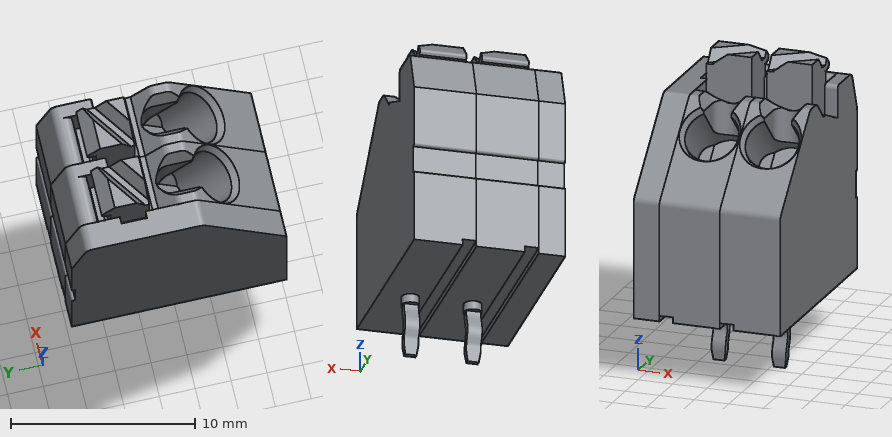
import cadquery as cq
import math


COVER_WIDTH = 1.5
POLE_PITCH = 3.5
POLE_COUNT = 2
HOUSING_DEPTH = 12.0
HOUSING_HEIGHT = 11.5
EDGE_RADIUS = 0.5
FRONT_WALL_HEIGHT = 6.84
BACK_WALL_HEIGHT = 9.13
BACK_BEVEL_RUN = 0.86
FRONT_BEVEL_RUN = HOUSING_HEIGHT - FRONT_WALL_HEIGHT

BACK_RECESS_BOTTOM = 4.12
BACK_RECESS_TOP = 5.65
BACK_RECESS_DEPTH = 0.2
BACK_RECESS_RADIUS = 0.15

COVER_POCKET_WIDTH = 0.4
COVER_POCKET_FRONT = 7.54
COVER_POCKET_BACK = 8.96
COVER_POCKET_DEPTH = 1.0

FOOT_NOTCH_WIDTH = 0.78
FOOT_NOTCH_HEIGHT = 0.33

TROUGH_FRONT = 5.66
TROUGH_STEP_FRONT = 6.74
TROUGH_STEP_BACK = 7.05
TROUGH_SLOPE_BACK = 9.63
TROUGH_BACK = 8.91
TROUGH_BACK_RADIUS = 0.23
TROUGH_SLOPE = math.tan(math.radians(22.5))
TROUGH_STEP_HEIGHT = HOUSING_HEIGHT - (TROUGH_STEP_FRONT - TROUGH_FRONT)

LEVER_POCKET_WIDTH = 2.75
LEVER_POCKET_BACK = 10.18
LEVER_POCKET_RADIUS = 0.45
LEVER_POCKET_CHAMFER = 0.18

WIRE_X = POLE_PITCH / 2
WIRE_Y = 3.17
WIRE_Z = FRONT_WALL_HEIGHT + WIRE_Y
WIRE_RADIUS = 1.51
WIRE_DEPTH = 3.87
WIRE_SIDE_DEPTH = 3.3
WIRE_END_HALF_WIDTH = 1.05
WIRE_MOUTH_RADIUS = 1.73
WIRE_MOUTH_DEPTH = 0.4

SLOT_HALF_WIDTH = 0.8
SLOT_MOUTH_HALF_WIDTH = 1.21
SLOT_MOUTH_DEPTH = 0.7
SLOT_CENTRE_Y = 5.73
SLOT_BOTTOM = 8.3

LEVER_WIDTH = 2.62
LEVER_TOP = HOUSING_HEIGHT + 1.61
LEVER_FRONT = 7.32
LEVER_BACK = 9.46
LEVER_NOSE_BACK = 10.03
LEVER_BEVEL_FRONT = 9.25
LEVER_NOSE_RADIUS = 0.17
LEVER_NOSE_UNDERSIDE_DROP = 1.0
LEVER_SHANK_DROP = 1.08

GROOVE_ANGLE = 35.0
GROOVE_DEPTH = 0.68
GROOVE_START_Y = 7.54
GROOVE_FLOOR_WIDTH = 0.35
GROOVE_BACK_RUN = 0.4
GROOVE_FRONT_RUN = 0.53

PIN_Y = 4.7
PIN_LENGTH = 3.49
COLLAR_RADIUS = 0.5
COLLAR_HEIGHT = 0.5
BLADE_WIDTH = 0.81
BLADE_THICKNESS = 0.43
BEND_TOP = 0.81
BEND_BOTTOM = 2.55
BEND_OFFSET = 0.35
BEND_INNER_RADIUS = 0.73
BEND_OUTER_RADIUS = BEND_INNER_RADIUS + BLADE_THICKNESS
TIP_START = 2.9
TIP_WIDTH = 0.63
TIP_THICKNESS = 0.3


def rounded_prism(corners, x_start, width):
    """Extrude a closed Y-Z outline along X; each corner is (y, z, radius), radius 0 for sharp."""
    path = []
    for i, (y, z, radius) in enumerate(corners):
        here = cq.Vector(y, z)
        to_last = (cq.Vector(*corners[i - 1][:2]) - here).normalized()
        to_next = (cq.Vector(*corners[(i + 1) % len(corners)][:2]) - here).normalized()
        if radius == 0:
            path.append((here, None, here))
            continue
        half_angle = to_last.getAngle(to_next) / 2
        setback = radius / math.tan(half_angle)
        bisector = (to_last + to_next).normalized()
        middle = here + bisector * (radius / math.sin(half_angle) - radius)
        path.append((here + to_last * setback, middle, here + to_next * setback))

    outline = cq.Workplane("YZ", origin=(x_start, 0, 0)).moveTo(*path[0][2].toTuple()[:2])
    for start, middle, end in path[1:] + path[:1]:
        outline = outline.lineTo(*start.toTuple()[:2])
        if middle is not None:
            outline = outline.threePointArc(middle.toTuple()[:2], end.toTuple()[:2])
    return outline.close().extrude(width)


def housing_slice(x_start, width):
    """Plain slice of the housing, without any openings in its top."""
    recess_wall = HOUSING_DEPTH - BACK_RECESS_DEPTH
    return rounded_prism(
        [
            (0, 0, 0),
            (0, FRONT_WALL_HEIGHT, EDGE_RADIUS),
            (FRONT_BEVEL_RUN, HOUSING_HEIGHT, EDGE_RADIUS),
            (HOUSING_DEPTH - BACK_BEVEL_RUN, HOUSING_HEIGHT, EDGE_RADIUS),
            (HOUSING_DEPTH, BACK_WALL_HEIGHT, 0),
            (HOUSING_DEPTH, BACK_RECESS_TOP, BACK_RECESS_RADIUS),
            (recess_wall, BACK_RECESS_TOP, 0),
            (recess_wall, BACK_RECESS_BOTTOM, 0),
            (HOUSING_DEPTH, BACK_RECESS_BOTTOM, BACK_RECESS_RADIUS),
            (HOUSING_DEPTH, 0, 0),
        ],
        x_start,
        width,
    )


def end_cover():
    pocket = cq.Workplane("XY").box(
        COVER_POCKET_WIDTH,
        COVER_POCKET_BACK - COVER_POCKET_FRONT,
        COVER_POCKET_DEPTH,
        centered=False,
    )
    pocket = pocket.translate(
        (COVER_WIDTH - COVER_POCKET_WIDTH, COVER_POCKET_FRONT, HOUSING_HEIGHT - COVER_POCKET_DEPTH)
    )
    return housing_slice(0, COVER_WIDTH).cut(pocket)


def trough_floor(y):
    """Height of the sloping trough floor at y."""
    return TROUGH_STEP_HEIGHT - (y - TROUGH_STEP_BACK) * TROUGH_SLOPE


def rim(y, radius, direction):
    """Corners that open an outline upward through the top face, with the rim rounded outward.

    direction is +1 for a rim behind the opening and -1 for one in front of it.
    """
    return [(y, HOUSING_HEIGHT, radius), (y + direction * 2 * radius, HOUSING_HEIGHT, 0)]


def trough():
    """Trough over the full width of a pole, with both upper edges rounded."""
    return rounded_prism(
        [
            *rim(TROUGH_FRONT, EDGE_RADIUS, -1)[::-1],
            (TROUGH_STEP_FRONT, TROUGH_STEP_HEIGHT, 0),
            (TROUGH_STEP_BACK, TROUGH_STEP_HEIGHT, 0),
            (TROUGH_BACK, trough_floor(TROUGH_BACK), 0),
            *rim(TROUGH_BACK, TROUGH_BACK_RADIUS, 1),
        ],
        0,
        POLE_PITCH,
    )


def lever_pocket():
    """Deeper part of the trough, behind the lever."""
    floor = trough_floor(TROUGH_SLOPE_BACK)
    return rounded_prism(
        [
            (TROUGH_STEP_BACK, HOUSING_HEIGHT, 0),
            (TROUGH_STEP_BACK, TROUGH_STEP_HEIGHT, 0),
            (TROUGH_SLOPE_BACK, floor, 0),
            (LEVER_POCKET_BACK - LEVER_POCKET_CHAMFER, floor, 0),
            (LEVER_POCKET_BACK, floor + LEVER_POCKET_CHAMFER, 0),
            *rim(LEVER_POCKET_BACK, LEVER_POCKET_RADIUS, 1),
        ],
        0,
        LEVER_POCKET_WIDTH,
    )


def wire_entry():
    """Blind round hole square to the front bevel, with a conical mouth and a wedge-shaped end."""
    mouth_slope = (WIRE_MOUTH_RADIUS - WIRE_RADIUS) / WIRE_MOUTH_DEPTH
    overrun = WIRE_MOUTH_DEPTH
    entry_plane = cq.Plane((WIRE_X, WIRE_Y, WIRE_Z), xDir=(1, 0, 0), normal=(0, 1, -1))
    hole = cq.Workplane(entry_plane).circle(WIRE_RADIUS).extrude(WIRE_DEPTH)
    mouth = (
        cq.Workplane(entry_plane)
        .workplane(offset=-overrun)
        .circle(WIRE_MOUTH_RADIUS + overrun * mouth_slope)
        .workplane(offset=overrun + WIRE_MOUTH_DEPTH)
        .circle(WIRE_RADIUS)
        .loft()
    )
    wedge_plane = cq.Plane((WIRE_X, WIRE_Y, WIRE_Z), xDir=(1, 0, 0), normal=(0, 1, 1))
    wedge = (
        cq.Workplane(wedge_plane)
        .polyline(
            [
                (-WIRE_RADIUS, 0),
                (WIRE_RADIUS, 0),
                (WIRE_RADIUS, WIRE_SIDE_DEPTH),
                (WIRE_END_HALF_WIDTH, WIRE_DEPTH),
                (-WIRE_END_HALF_WIDTH, WIRE_DEPTH),
                (-WIRE_RADIUS, WIRE_SIDE_DEPTH),
            ]
        )
        .close()
        .extrude(WIRE_RADIUS, both=True)
    )
    return hole.intersect(wedge).union(mouth)


def slot_outline(half_width, z):
    """Slot outline, open into the wire entry at the front and round at the back."""
    return (
        cq.Workplane("XY", origin=(WIRE_X, 0, z))
        .moveTo(-half_width, WIRE_Y)
        .lineTo(-half_width, SLOT_CENTRE_Y)
        .threePointArc((0, SLOT_CENTRE_Y + half_width), (half_width, SLOT_CENTRE_Y))
        .lineTo(half_width, WIRE_Y)
        .close()
    )


def wire_slot():
    mouth_angle = math.degrees(
        math.atan((SLOT_MOUTH_HALF_WIDTH - SLOT_HALF_WIDTH) / SLOT_MOUTH_DEPTH)
    )
    shaft = slot_outline(SLOT_HALF_WIDTH, SLOT_BOTTOM).extrude(HOUSING_HEIGHT - SLOT_BOTTOM)
    mouth = slot_outline(SLOT_MOUTH_HALF_WIDTH, HOUSING_HEIGHT).extrude(
        -SLOT_MOUTH_DEPTH, taper=mouth_angle
    )
    return shaft.union(mouth)


def lever_groove():
    angle = math.radians(GROOVE_ANGLE)
    along = (math.cos(angle), math.sin(angle), 0)
    across = (-math.sin(angle), math.cos(angle), 0)
    groove_plane = cq.Plane((0, GROOVE_START_Y, LEVER_TOP - GROOVE_DEPTH), across, along)
    return (
        cq.Workplane(groove_plane)
        .polyline(
            [
                (0, 0),
                (GROOVE_BACK_RUN, GROOVE_DEPTH),
                (-GROOVE_FLOOR_WIDTH - GROOVE_FRONT_RUN, GROOVE_DEPTH),
                (-GROOVE_FLOOR_WIDTH, 0),
            ]
        )
        .close()
        .extrude(2 * LEVER_WIDTH, both=True)
    )


def lever():
    """Lever rising out of the trough, with a hooked nose at the back."""
    root = trough_floor(TROUGH_SLOPE_BACK)
    nose_height = LEVER_TOP - (LEVER_NOSE_BACK - LEVER_BEVEL_FRONT)
    body = rounded_prism(
        [
            (LEVER_FRONT, root, 0),
            (LEVER_FRONT, LEVER_TOP, 0),
            (LEVER_BEVEL_FRONT, LEVER_TOP, 0),
            (LEVER_NOSE_BACK, nose_height, LEVER_NOSE_RADIUS),
            (LEVER_NOSE_BACK - LEVER_NOSE_RADIUS, LEVER_TOP - LEVER_NOSE_UNDERSIDE_DROP, 0),
            (LEVER_BACK, LEVER_TOP - LEVER_SHANK_DROP, 0),
            (LEVER_BACK, root, 0),
        ],
        0,
        LEVER_WIDTH,
    )
    return body.cut(lever_groove())


def pole(x_start):
    foot_notch = cq.Workplane("XY").box(
        FOOT_NOTCH_WIDTH, HOUSING_DEPTH, FOOT_NOTCH_HEIGHT, centered=False
    )
    body = housing_slice(0, POLE_PITCH).cut(foot_notch)
    for opening in (trough(), lever_pocket(), wire_entry(), wire_slot()):
        body = body.cut(opening)
    return body.union(lever()).translate((x_start, 0, 0))


def pin_blade():
    """Flat blade kinked toward the back, so that it grips the board."""
    front = PIN_Y - BLADE_THICKNESS / 2
    back = PIN_Y + BLADE_THICKNESS / 2
    bend_middle = (BEND_TOP + BEND_BOTTOM) / 2
    return rounded_prism(
        [
            (front, -COLLAR_HEIGHT, 0),
            (front, -BEND_TOP, BEND_OUTER_RADIUS),
            (front + BEND_OFFSET, -bend_middle, BEND_INNER_RADIUS),
            (front, -BEND_BOTTOM, BEND_OUTER_RADIUS),
            (front, -TIP_START, 0),
            (back, -TIP_START, 0),
            (back, -BEND_BOTTOM, BEND_INNER_RADIUS),
            (back + BEND_OFFSET, -bend_middle, BEND_OUTER_RADIUS),
            (back, -BEND_TOP, BEND_INNER_RADIUS),
            (back, -COLLAR_HEIGHT, 0),
        ],
        -BLADE_WIDTH / 2,
        BLADE_WIDTH,
    )


def solder_pin(x_centre):
    """Round collar under the pole, kinked blade and tapered tip."""
    collar = cq.Workplane("XY", origin=(0, PIN_Y, 0)).circle(COLLAR_RADIUS).extrude(-COLLAR_HEIGHT)
    tip = (
        cq.Workplane("XY", origin=(0, PIN_Y, -TIP_START))
        .rect(BLADE_WIDTH, BLADE_THICKNESS)
        .workplane(offset=TIP_START - PIN_LENGTH)
        .rect(TIP_WIDTH, TIP_THICKNESS)
        .loft()
    )
    return collar.union(pin_blade()).union(tip).translate((x_centre, 0, 0))


pole_starts = [COVER_WIDTH + i * POLE_PITCH for i in range(POLE_COUNT)]
cover = end_cover()
poles = [pole(x) for x in pole_starts]
pins = [solder_pin(x + POLE_PITCH / 2) for x in pole_starts]

result = cq.Compound.makeCompound([body.val() for body in [cover, *poles, *pins]])